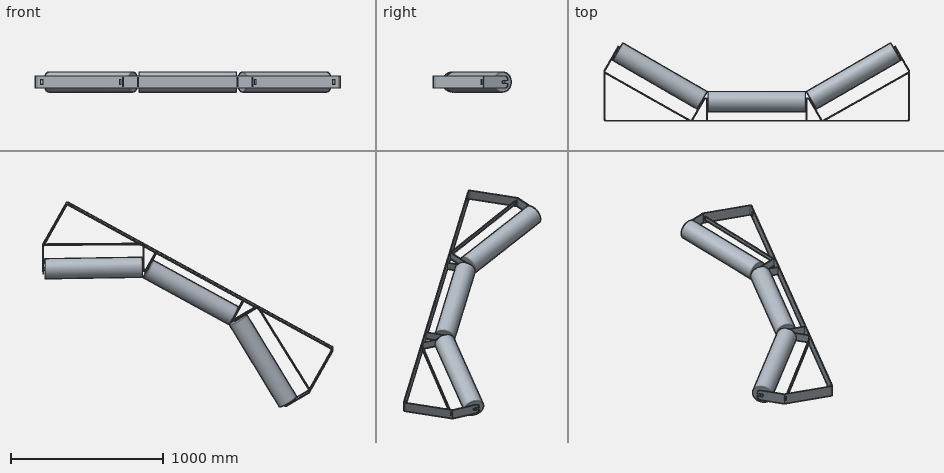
import cadquery as cq
import math


frame_length = 2000.0
strip_height = 80.0
strip_thickness = 5.0
corner_radius = 12.0

trough_angle = 30.0
roller_diameter = 135.0
roller_edge_radius = 5.0
roller_length = 640.0
axle_diameter = 20.0
bracket_clearance = 5.0
arm_clearance = 8.0
center_roller_y = 128.0
wing_center_x = 635.0
wing_center_y = 295.0

arm_tip_overhang = 32.0
arm_tip_radius = 25.0

bracket_top_y = 152.0
bracket_height = 60.0
brace_height = 30.0
brace_thickness = 5.0
brace_wall_y = 318.0
brace_base_x = 440.0

mount_slot_inset = 45.0
mount_slot_length = 32.0
mount_slot_width = 18.0

half_length = frame_length / 2
bracket_near_face = roller_length / 2 + bracket_clearance
bracket_far_face = bracket_near_face + strip_thickness
arm_near_face = roller_length / 2 + arm_clearance
arm_far_face = arm_near_face + strip_thickness
tilt_sin = math.sin(math.radians(trough_angle))
tilt_cos = math.cos(math.radians(trough_angle))


def wing_point(along, across):
    """XY point at a distance along and across the axis of the left inclined roller."""
    x = -wing_center_x + along * tilt_cos + across * tilt_sin
    y = wing_center_y - along * tilt_sin + across * tilt_cos
    return x, y


def place_on_wing(body):
    """Moves a body modelled along X at the origin to the left inclined roller."""
    return body.rotate((0, 0, 0), (0, 0, 1), -trough_angle).translate((-wing_center_x, wing_center_y, 0))


def mirrored(body):
    return body.mirror("YZ")


def bent_strip(path, thickness, height):
    """Flat bar on edge, bent along a path of XY points, with its thickness to the left of the path."""
    normals = []
    for (x0, y0), (x1, y1) in zip(path, path[1:]):
        length = math.hypot(x1 - x0, y1 - y0)
        normals.append(((y0 - y1) / length, (x1 - x0) / length))
    offset_path = []
    for (x, y), (ax, ay), (bx, by) in zip(path, normals[:1] + normals, normals + normals[-1:]):
        miter = thickness / (1 + ax * bx + ay * by)
        offset_path.append((x + miter * (ax + bx), y + miter * (ay + by)))
    outline = path + offset_path[::-1]
    return cq.Workplane("XY").polyline(outline).close().extrude(height / 2, both=True)


def make_roller(left_axle_reach, right_axle_reach):
    """Roller with rounded rims, centred on the origin along X, and an axle that reaches past both ends."""
    barrel = (
        cq.Workplane("YZ", origin=(-roller_length / 2, 0, 0))
        .circle(roller_diameter / 2)
        .extrude(roller_length)
        .edges("%CIRCLE")
        .fillet(roller_edge_radius)
    )
    axle = (
        cq.Workplane("YZ", origin=(-left_axle_reach, 0, 0))
        .circle(axle_diameter / 2)
        .extrude(left_axle_reach + right_axle_reach)
    )
    return barrel.union(axle)


arm_reach = (half_length - wing_center_x - arm_far_face * tilt_cos) / tilt_sin
bend_point = wing_point(-arm_far_face, -arm_reach)


def make_base():
    """Base with an upright side wall at each end, bent from one strip."""
    bend_x, bend_y = bend_point
    path = [(bend_x, bend_y), (-half_length, 0), (half_length, 0), (-bend_x, bend_y)]
    base = bent_strip(path, strip_thickness, strip_height)
    base = base.edges("|Z and <Y").fillet(corner_radius)
    inner_corners = cq.selectors.BoxSelector(
        (-half_length, strip_thickness / 2, -strip_height),
        (half_length, strip_thickness * 2, strip_height),
    )
    base = base.edges("|Z").edges(inner_corners).fillet(corner_radius - strip_thickness)
    slot_x = half_length - mount_slot_inset
    slots = (
        cq.Workplane("XZ")
        .pushPoints([(-slot_x, 0), (slot_x, 0)])
        .slot2D(mount_slot_length, mount_slot_width, 90)
        .extrude(-strip_thickness)
    )
    return base.cut(slots)


def make_arm():
    """Left arm: inclined plate with a rounded tip and an axle slot open at the tip."""
    plate_length = arm_reach + arm_tip_overhang
    plate = (
        cq.Workplane("XY")
        .box(strip_thickness, plate_length, strip_height)
        .edges("|X and >Y")
        .fillet(arm_tip_radius)
        .translate((strip_thickness / 2 - arm_far_face, (arm_tip_overhang - arm_reach) / 2, 0))
    )
    slot = (
        cq.Workplane("YZ", origin=(-arm_far_face, 0, 0))
        .circle(axle_diameter / 2)
        .extrude(strip_thickness)
        .union(
            cq.Workplane("XY")
            .box(strip_thickness, arm_tip_overhang, axle_diameter)
            .translate((strip_thickness / 2 - arm_far_face, arm_tip_overhang / 2, 0))
        )
    )
    return place_on_wing(plate.cut(slot))


def round_arm_bends(body):
    """Rounds the outside of the bend between each side wall and its arm."""
    bend_x, bend_y = bend_point
    reach = strip_thickness / 4
    for x in (bend_x, -bend_x):
        near_bend = cq.selectors.BoxSelector(
            (x - reach, bend_y - reach, -strip_height),
            (x + reach, bend_y + reach, strip_height),
        )
        body = body.edges("|Z").edges(near_bend).fillet(corner_radius)
    return body


def make_bracket():
    """Left inner bracket: inverted V whose post and leg carry the inner roller ends."""
    foot_y = strip_thickness / 2

    def leg_point(y):
        _, face_y = wing_point(bracket_near_face, 0)
        return wing_point(bracket_near_face, (y - face_y) / tilt_cos)

    path = [
        (-bracket_near_face, foot_y),
        (-bracket_near_face, bracket_top_y),
        leg_point(bracket_top_y),
        leg_point(foot_y),
    ]
    return bent_strip(path, strip_thickness, bracket_height)


def make_brace():
    """Left brace: slim bar from the side wall down to the base."""
    foot_y = strip_thickness / 4
    path = [(-half_length, brace_wall_y), (-brace_base_x, foot_y)]
    return bent_strip(path, brace_thickness, brace_height)


center_roller = make_roller(bracket_far_face, bracket_far_face).translate((0, center_roller_y, 0))
left_roller = place_on_wing(make_roller(arm_far_face, bracket_far_face))
right_roller = mirrored(left_roller)
rollers = [center_roller, left_roller, right_roller]

frame = make_base()
arm = make_arm()
frame = round_arm_bends(frame.union(arm).union(mirrored(arm)))
for member in (make_bracket(), make_brace()):
    frame = frame.union(member).union(mirrored(member))
for body in rollers:
    frame = frame.cut(body)

result = cq.Compound.makeCompound([frame.val()] + [body.val() for body in rollers])